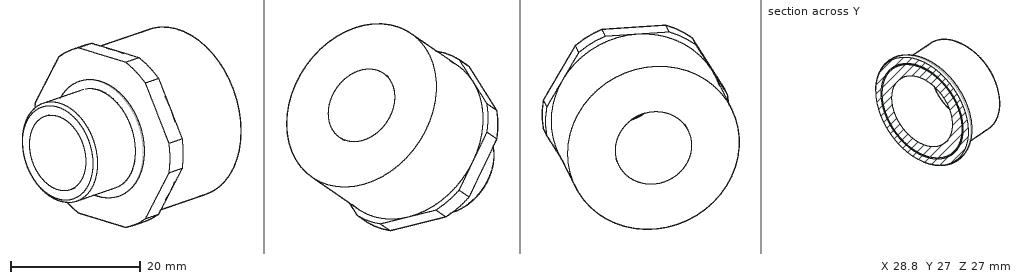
import cadquery as cq
import math

body_diameter = 27.0
body_length = 14.0
hex_across_flats = 27.0
hex_corner_diameter = 28.8
flange_thickness = 3.0
spigot_diameter = 16.0
spigot_length = 10.0
spigot_chamfer = 0.5
bore_diameter = 12.0
ring_section_diameter = 1.4
ring_overlap = 0.005

flange_back = flange_thickness
body_end = flange_back + body_length
spigot_tip = -spigot_length
overall_length = body_end - spigot_tip


def cylinder(diameter, start, length):
    """Solid cylinder about Y, running from start towards +Y."""
    profile = cq.Workplane("XZ", origin=(0, start, 0)).circle(diameter / 2)
    return profile.extrude(-length)


def make_flange():
    """Hexagon with flats facing +/-Z and its corners turned down to a circle."""
    across_corners = hex_across_flats / math.cos(math.pi / 6)
    hexagon = cq.Workplane("XZ").polygon(6, across_corners).extrude(-flange_thickness)
    return hexagon.intersect(cylinder(hex_corner_diameter, 0, flange_thickness))


def make_spigot():
    """Tube end with a chamfered outer rim."""
    spigot = cylinder(spigot_diameter, spigot_tip, spigot_length)
    return spigot.faces("<Y").chamfer(spigot_chamfer)


def make_sealing_ring():
    """Round-section ring seated in the corner between the spigot and flange."""
    section_radius = ring_section_diameter / 2
    centre_radius = spigot_diameter / 2 + section_radius - ring_overlap
    centre_y = ring_overlap - section_radius
    section = cq.Workplane("XY").center(centre_radius, centre_y).circle(section_radius)
    return section.revolve(360, (-centre_radius, 0), (-centre_radius, 1))


body = cylinder(body_diameter, flange_back, body_length)
bore = cylinder(bore_diameter, spigot_tip, overall_length)
result = body.union(make_flange()).union(make_spigot()).union(make_sealing_ring()).cut(bore)